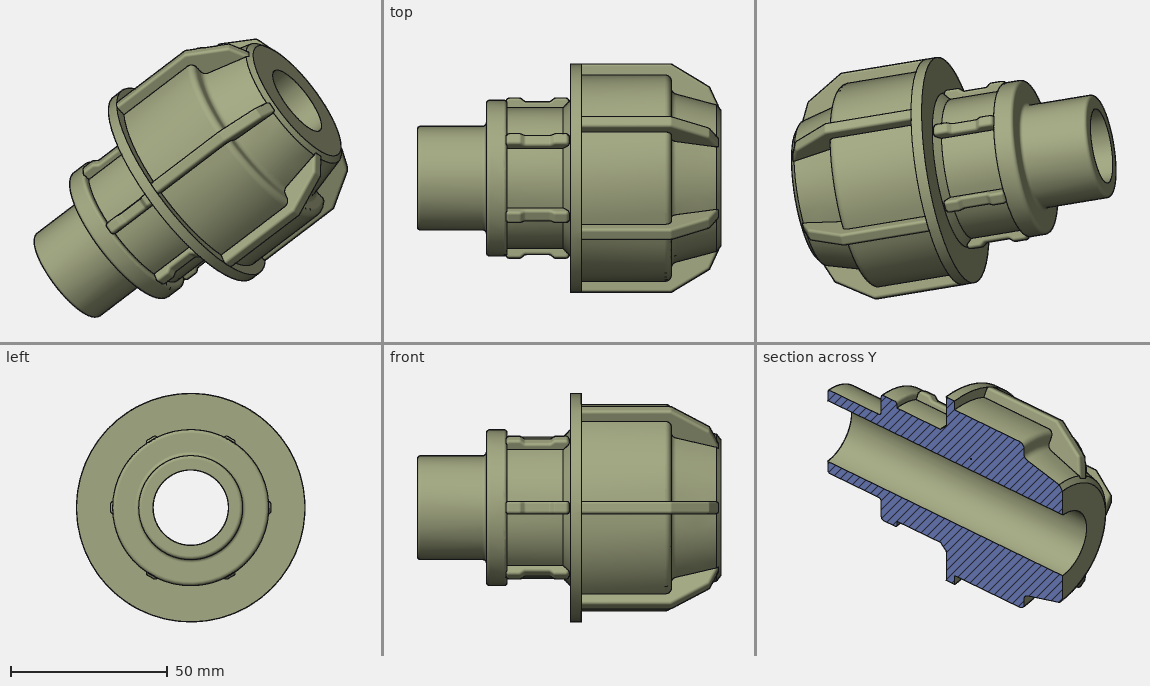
import cadquery as cq

spigot_end = 0.0
collar_start = 22.0
collar_end = 28.65
body_end = 46.55
flange_start = 48.85
flange_end = 52.4
nut_shoulder = 81.1
nose_rim = 95.55
nut_end = 97.0

bore_d = 24.0
spigot_d = 33.25
collar_d = 49.87
body_d = 45.2
flange_d = 73.0
nut_d = 66.0
nose_root_d = 54.6
nose_rim_d = 46.9
nose_tip_d = 43.2

spigot_fillet = 1.1
collar_front_fillet = 1.2
collar_back_fillet = 1.0
nut_fillet = 2.0

margin = 0.1

rib_count = 6
rib_pitch = 360 / rib_count
rib_width = 4.0
rib_edge_fillet = 0.9
rib_corner_fillet = 1.0
rib_root_depth = 2.0

pad_r = 25.6
bridge_r = 24.45
pad_start = 28.2
pad_stop = 48.6
pad_length = 4.75
pad_ramp = 1.45
pad_end_slope = 0.6

nut_rib_bend_x = 93.3
nut_rib_bend_r = 29.1
nut_rib_tip_x = 96.15
nut_rib_tip_r = 23.0


def circle_edges_at(x, diameter):
    """Selector for the circular edge of this diameter at station x."""
    left = x - margin
    right = x + margin
    outer = diameter / 2 + margin
    inner = diameter / 2 - margin
    outer_box = cq.selectors.BoxSelector((left, -outer, -outer), (right, outer, outer), boundingbox=True)
    inner_box = cq.selectors.BoxSelector((left, -inner, -inner), (right, inner, inner), boundingbox=True)
    return outer_box - inner_box


def turned_body():
    """Spigot, collar, body, flange and nut as one solid of revolution."""
    outline = [
        (spigot_end, 0),
        (spigot_end, spigot_d / 2),
        (collar_start, spigot_d / 2),
        (collar_start, collar_d / 2),
        (collar_end, collar_d / 2),
        (collar_end, body_d / 2),
        (body_end, body_d / 2),
        (flange_start, collar_d / 2),
        (flange_start, flange_d / 2),
        (flange_end, flange_d / 2),
        (flange_end, nut_d / 2),
        (nut_shoulder, nut_d / 2),
        (nut_shoulder, nose_root_d / 2),
        (nose_rim, nose_rim_d / 2),
        (nut_end, nose_tip_d / 2),
        (nut_end, 0),
    ]
    body = cq.Workplane("XY").polyline(outline).close().revolve(360, (0, 0, 0), (1, 0, 0))
    rounded_edges = [
        (spigot_end, spigot_d, spigot_fillet),
        (collar_start, spigot_d, spigot_fillet),
        (collar_start, collar_d, collar_front_fillet),
        (collar_end, collar_d, collar_back_fillet),
        (nut_shoulder, nut_d, nut_fillet),
        (nut_shoulder, nose_root_d, nut_fillet),
    ]
    for x, diameter, radius in rounded_edges:
        body = body.edges(circle_edges_at(x, diameter)).fillet(radius)
    return body


def rounded_rib(crest, root_r):
    """Rib on the +Z side: the crest runs over root_r, with rounded bends and long edges."""
    start_x = crest[0][0]
    stop_x = crest[-1][0]
    profile = [(start_x, root_r)] + crest + [(stop_x, root_r)]
    rib = cq.Workplane("XZ").polyline(profile).close().extrude(rib_width / 2, both=True)
    above_root = cq.selectors.BoxSelector(
        (start_x - margin, -rib_width, root_r + margin),
        (stop_x + margin, rib_width, flange_d),
    )
    crosswise = cq.selectors.StringSyntaxSelector("|Y")
    rib = rib.edges(crosswise & above_root).fillet(rib_corner_fillet)
    return rib.faces("|Y").edges(above_root).fillet(rib_edge_fillet)


def body_rib():
    """Two pads joined by the lower bridge, between the collar and the flange."""
    crest = [
        (pad_start, bridge_r),
        (pad_start + pad_end_slope, pad_r),
        (pad_start + pad_length, pad_r),
        (pad_start + pad_length + pad_ramp, bridge_r),
        (pad_stop - pad_length - pad_ramp, bridge_r),
        (pad_stop - pad_length, pad_r),
        (pad_stop - pad_end_slope, pad_r),
        (pad_stop, bridge_r),
    ]
    return rounded_rib(crest, body_d / 2 - rib_root_depth)


def nut_rib():
    """Grip rib from the flange face to the nose, cut square where it meets the flange."""
    crest = [
        (flange_start, flange_d / 2),
        (nut_shoulder, flange_d / 2),
        (nut_rib_bend_x, nut_rib_bend_r),
        (nut_rib_tip_x, nut_rib_tip_r),
    ]
    rib = rounded_rib(crest, nose_tip_d / 2 - rib_root_depth)
    beyond_flange = cq.Workplane("YZ", origin=(flange_end, 0, 0)).circle(flange_d).extrude(nut_end - flange_end)
    return rib.intersect(beyond_flange)


def add_around(body, rib):
    """Copies of the rib around the X axis, the first one pointing along -Y."""
    for index in range(rib_count):
        body = body.union(rib.rotate((0, 0, 0), (1, 0, 0), 90 + index * rib_pitch))
    return body


result = turned_body()
result = add_around(result, body_rib())
result = add_around(result, nut_rib())

bore = cq.Workplane("YZ").circle(bore_d / 2).extrude(nut_end)
result = result.cut(bore)